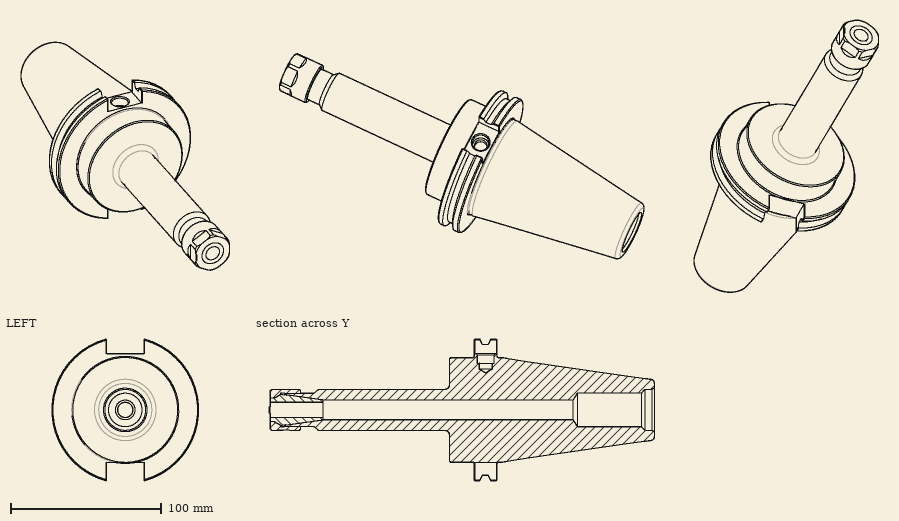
import cadquery as cq
import math

TOTAL_LENGTH = 257.0

GAUGE_DIAMETER = 70.0
TAPER_LENGTH = 101.5
TAPER_RATIO = 7 / 24
TAPER_END_RADIUS = (GAUGE_DIAMETER - TAPER_RATIO * TAPER_LENGTH) / 2
TAPER_END_FILLET = 2.8

FLANGE_DIAMETER = 98.0
FLANGE_START = 105.0
FLANGE_WIDTH = 15.5
FLANGE_END = FLANGE_START + FLANGE_WIDTH
FLANGE_CENTER = FLANGE_START + FLANGE_WIDTH / 2
FLANGE_CHAMFER = 0.8
FLANGE_ROOT_FILLET = 0.8
GROOVE_CENTER = 112.8
GROOVE_TOP_WIDTH = 7.5
GROOVE_FLOOR_WIDTH = 3.9
GROOVE_DEPTH = 3.5

SLOT_WIDTH = 24.7
SLOT_CHAMFER = 0.5
UPPER_SLOT_HEIGHT = 37.5
LOWER_SLOT_HEIGHT = 35.2

SLOT_HOLE_RIM_DIAMETER = 12.5
SLOT_HOLE_DIAMETER = 11.0
SLOT_HOLE_DEPTH = 6.5
SLOT_DRILL_DIAMETER = 8.5
SLOT_DRILL_DEPTH = 10.3
DRILL_POINT_ANGLE = 118.0

COLLAR_END = 136.8
COLLAR_CHAMFER = 0.8
SHAFT_DIAMETER = 27.5
SHAFT_FILLET = 3.0
SHAFT_END = 227.2
SHAFT_END_TAPER = 3.0
NOSE_DIAMETER = 22.4
NOSE_END = 246.8

MOUTH_DIAMETER = 29.0
MOUTH_DEPTH = 1.8
PILOT_DIAMETER = 27.2
PILOT_END = 6.5
STUD_BORE_DIAMETER = 22.4
STUD_BORE_START = 8.7
STUD_BORE_END = 51.5
THROUGH_BORE_DIAMETER = 13.0

COLLET_BORE_DIAMETER = 10.0
COLLET_HALF_ANGLE = 8.0
COLLET_LARGE_DIAMETER = 21.0
COLLET_LARGE_X = 249.3
COLLET_FRONT_DIAMETER = 16.0
COLLET_FRONT_ANGLE = 30.0

NUT_DIAMETER = 27.5
NUT_START = 236.0
NUT_END = 256.3
NUT_CHAMFER = 0.8
NUT_FLAT_COUNT = 6
NUT_ACROSS_FLATS = 25.0
NUT_FLAT_START = 248.3
NUT_FLAT_RUN_OUT = 1.8
NUT_END_CHAMFER = 1.0

MARK_RADIUS = 12.0
MARK_THICKNESS = 0.5
MARK_WIDTH = 4.0


def cone_run(radius_change, half_angle):
    """Length along the axis over which a cone changes its radius by the given amount."""
    return abs(radius_change) / math.tan(math.radians(half_angle))


COLLET_START = COLLET_LARGE_X - cone_run(
    (COLLET_LARGE_DIAMETER - THROUGH_BORE_DIAMETER) / 2, COLLET_HALF_ANGLE
)
COLLET_FRONT_X = COLLET_LARGE_X + cone_run(
    (COLLET_LARGE_DIAMETER - COLLET_FRONT_DIAMETER) / 2, COLLET_FRONT_ANGLE
)


def turned(profile):
    """Solid of revolution about X from (x, radius) points, closed along the axis."""
    outline = [(profile[0][0], 0), *profile, (profile[-1][0], 0)]
    return cq.Workplane("XY").polyline(outline).close().revolve(360, (0, 0, 0), (1, 0, 0))


def collet_envelope():
    """Outside of the collet, which is also the shape of its seat in the holder and the nut."""
    return turned([
        (COLLET_START, THROUGH_BORE_DIAMETER / 2),
        (COLLET_LARGE_X, COLLET_LARGE_DIAMETER / 2),
        (COLLET_FRONT_X, COLLET_FRONT_DIAMETER / 2),
        (NUT_END, COLLET_FRONT_DIAMETER / 2),
    ])


def holder_blank():
    gauge_radius = GAUGE_DIAMETER / 2
    flange_radius = FLANGE_DIAMETER / 2
    shaft_radius = SHAFT_DIAMETER / 2
    nose_radius = NOSE_DIAMETER / 2
    flange_root_radius = gauge_radius + FLANGE_ROOT_FILLET
    arc_middle = 1 - math.sqrt(0.5)
    shaft_arc_middle = SHAFT_FILLET * arc_middle
    root_arc_middle = FLANGE_ROOT_FILLET * arc_middle
    outline = (
        cq.Workplane("XY")
        .lineTo(0, TAPER_END_RADIUS)
        .lineTo(TAPER_LENGTH, gauge_radius)
        .lineTo(FLANGE_START - FLANGE_ROOT_FILLET, gauge_radius)
        .threePointArc(
            (FLANGE_START - root_arc_middle, gauge_radius + root_arc_middle),
            (FLANGE_START, flange_root_radius),
        )
        .lineTo(FLANGE_START, flange_radius - FLANGE_CHAMFER)
        .lineTo(FLANGE_START + FLANGE_CHAMFER, flange_radius)
        .lineTo(FLANGE_END - FLANGE_CHAMFER, flange_radius)
        .lineTo(FLANGE_END, flange_radius - FLANGE_CHAMFER)
        .lineTo(FLANGE_END, flange_root_radius)
        .threePointArc(
            (FLANGE_END + root_arc_middle, gauge_radius + root_arc_middle),
            (FLANGE_END + FLANGE_ROOT_FILLET, gauge_radius),
        )
        .lineTo(COLLAR_END - COLLAR_CHAMFER, gauge_radius)
        .lineTo(COLLAR_END, gauge_radius - COLLAR_CHAMFER)
        .lineTo(COLLAR_END, shaft_radius + SHAFT_FILLET)
        .threePointArc(
            (COLLAR_END + shaft_arc_middle, shaft_radius + shaft_arc_middle),
            (COLLAR_END + SHAFT_FILLET, shaft_radius),
        )
        .lineTo(SHAFT_END - SHAFT_END_TAPER, shaft_radius)
        .lineTo(SHAFT_END, nose_radius)
        .lineTo(NOSE_END, nose_radius)
        .lineTo(NOSE_END, 0)
        .close()
    )
    blank = outline.revolve(360, (0, 0, 0), (1, 0, 0))
    return blank.faces("<X").edges().fillet(TAPER_END_FILLET)


def gripper_groove():
    floor_radius = FLANGE_DIAMETER / 2 - GROOVE_DEPTH
    half_top = GROOVE_TOP_WIDTH / 2
    half_floor = GROOVE_FLOOR_WIDTH / 2
    return (
        cq.Workplane("XY")
        .moveTo(GROOVE_CENTER - half_floor, floor_radius)
        .lineTo(GROOVE_CENTER + half_floor, floor_radius)
        .lineTo(GROOVE_CENTER + half_top, FLANGE_DIAMETER / 2)
        .lineTo(GROOVE_CENTER - half_top, FLANGE_DIAMETER / 2)
        .close()
        .revolve(360, (0, 0, 0), (1, 0, 0))
    )


def drive_slot(floor_z, direction):
    """Slot across the flange, open outwards; direction is +1 for the top and -1 for the bottom."""
    half_width = SLOT_WIDTH / 2
    flared_half = half_width + SLOT_CHAMFER
    outer_radius = FLANGE_DIAMETER / 2
    land_z = math.sqrt(outer_radius**2 - flared_half**2)
    flare_height = outer_radius - (land_z - SLOT_CHAMFER)
    half_length = FLANGE_WIDTH / 2

    plan = cq.Workplane("XY", origin=(FLANGE_CENTER, 0, direction * floor_z))
    slot = plan.rect(FLANGE_WIDTH, SLOT_WIDTH).extrude(direction * (outer_radius - floor_z))

    for face in (-1, 1):
        end_x = face * half_length
        flare = plan.polyline([
            (end_x, -flared_half),
            (end_x - face * SLOT_CHAMFER, -half_width),
            (end_x - face * SLOT_CHAMFER, half_width),
            (end_x, flared_half),
        ]).close()
        slot = slot.union(flare.extrude(direction * (outer_radius - floor_z)))

    flare_base_z = direction * (land_z - SLOT_CHAMFER)
    outer_z = direction * outer_radius
    outer_flare = (
        cq.Workplane("YZ", origin=(FLANGE_START, 0, 0))
        .polyline([
            (-half_width, flare_base_z),
            (half_width, flare_base_z),
            (half_width + flare_height, outer_z),
            (-half_width - flare_height, outer_z),
        ])
        .close()
        .extrude(FLANGE_WIDTH)
    )
    return slot.union(outer_flare)


def slot_hole():
    """Stepped blind hole with a chamfered rim and a drill point, pointing down into the flange."""
    rim_radius = SLOT_HOLE_RIM_DIAMETER / 2
    radius = SLOT_HOLE_DIAMETER / 2
    drill_radius = SLOT_DRILL_DIAMETER / 2
    point_depth = SLOT_DRILL_DEPTH + cone_run(drill_radius, DRILL_POINT_ANGLE / 2)
    return (
        cq.Workplane("XZ", origin=(FLANGE_CENTER, 0, UPPER_SLOT_HEIGHT))
        .lineTo(rim_radius, 0)
        .lineTo(radius, radius - rim_radius)
        .lineTo(radius, -SLOT_HOLE_DEPTH)
        .lineTo(drill_radius, -SLOT_HOLE_DEPTH)
        .lineTo(drill_radius, -SLOT_DRILL_DEPTH)
        .lineTo(0, -point_depth)
        .close()
        .revolve(360, (0, 0, 0), (0, 1, 0))
    )


def holder_bore():
    stud_radius = STUD_BORE_DIAMETER / 2
    through_radius = THROUGH_BORE_DIAMETER / 2
    cone_end = STUD_BORE_END + cone_run(stud_radius - through_radius, DRILL_POINT_ANGLE / 2)
    return turned([
        (0, MOUTH_DIAMETER / 2),
        (MOUTH_DEPTH, PILOT_DIAMETER / 2),
        (PILOT_END, PILOT_DIAMETER / 2),
        (STUD_BORE_START, stud_radius),
        (STUD_BORE_END, stud_radius),
        (cone_end, through_radius),
        (COLLET_START, through_radius),
    ])


def make_holder():
    return (
        holder_blank()
        .cut(gripper_groove())
        .cut(drive_slot(UPPER_SLOT_HEIGHT, 1))
        .cut(drive_slot(LOWER_SLOT_HEIGHT, -1))
        .cut(slot_hole())
        .cut(holder_bore())
        .cut(collet_envelope())
    )


def make_collet():
    bore = turned([
        (COLLET_START, COLLET_BORE_DIAMETER / 2),
        (NUT_END, COLLET_BORE_DIAMETER / 2),
    ])
    return collet_envelope().cut(bore)


def wrench_flat_cutter(angle):
    """Removes the material outside one flat, with a sloped run-out at its inner end."""
    flat_height = NUT_ACROSS_FLATS / 2
    outer_height = NUT_DIAMETER / 2
    return (
        cq.Workplane("XY")
        .moveTo(NUT_FLAT_START, flat_height)
        .lineTo(NUT_END, flat_height)
        .lineTo(NUT_END, outer_height)
        .lineTo(NUT_FLAT_START - NUT_FLAT_RUN_OUT, outer_height)
        .close()
        .extrude(NUT_DIAMETER / 2, both=True)
        .rotate((0, 0, 0), (1, 0, 0), angle)
    )


def make_nut():
    radius = NUT_DIAMETER / 2
    nut = turned([
        (NUT_START, radius - NUT_CHAMFER),
        (NUT_START + NUT_CHAMFER, radius),
        (NUT_END - NUT_END_CHAMFER, radius),
        (NUT_END, radius - NUT_END_CHAMFER),
    ])
    for index in range(NUT_FLAT_COUNT):
        nut = nut.cut(wrench_flat_cutter(index * 360 / NUT_FLAT_COUNT))
    nose_bore = turned([
        (NUT_START, NOSE_DIAMETER / 2),
        (COLLET_LARGE_X, NOSE_DIAMETER / 2),
    ])
    mark_height = TOTAL_LENGTH - NUT_END
    mark = cq.Workplane("XY").box(mark_height, MARK_THICKNESS, MARK_WIDTH, centered=(False, True, True))
    mark = mark.translate((NUT_END, -MARK_RADIUS, 0))
    return nut.cut(nose_bore).cut(collet_envelope()).union(mark)


holder = make_holder()
collet = make_collet()
nut = make_nut()

result = cq.Compound.makeCompound([
    holder.solids().val(),
    collet.solids().val(),
    nut.solids().val(),
])